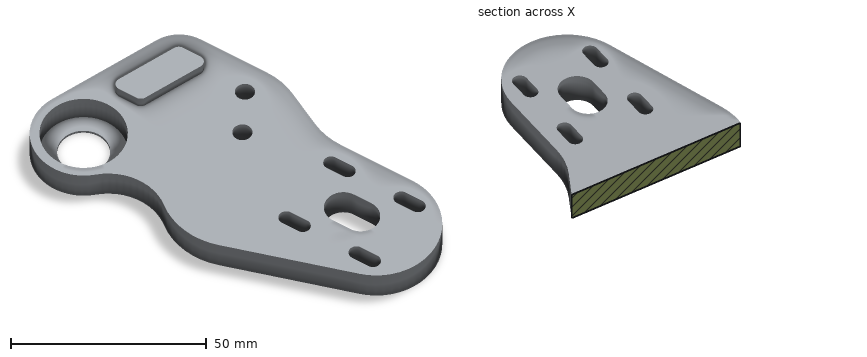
import cadquery as cq
import math

overall_length = 109.5
overall_width = 55.8
plate_thickness = 8.2
overall_height = 11.3

pivot_radius = 13.8
pivot_center = (0.0, 0.0)
top_edge_y = overall_width - pivot_radius
corner_radius = 10.0
corner_center = (8.5, top_edge_y - corner_radius)
end_radius = 16.9
end_center = (overall_length - pivot_radius - end_radius, 15.3)
belly_radius = 20.0
belly_center = (42.5, 6.9)
waist_radius = 15.0

shoulder_start_x = 33.5
shoulder_end_x = 52.5
shoulder_radius = 20.0
low_edge_y = end_center[1] + end_radius

bore_radius = 6.8
counterbore_radius = 11.3
counterbore_depth = 7.5

pad_center = (7.0, 25.1)
pad_width = 9.5
pad_length = 20.2
pad_corner_radius = 2.0

hole_diameter = 5.1
hole_centers = [(27.4, 33.6), (34.0, 22.1)]
slot_center = (71.5, end_center[1])
slot_length = 15.2
slot_width = 10.0
small_slot_length = 9.1
small_slot_width = 4.0
small_slot_spacing = 21.2


def polar(center, radius, angle):
    """Point on a circle at an angle in radians."""
    return (center[0] + radius * math.cos(angle), center[1] + radius * math.sin(angle))


def direction(start, end):
    """Angle of the line from start to end."""
    return math.atan2(end[1] - start[1], end[0] - start[0])


def tangent_normal(first, first_radius, second, second_radius):
    """Normal angle of the outer tangent to the right of the path from first to second."""
    lean = math.acos((first_radius - second_radius) / math.dist(first, second))
    return direction(first, second) - lean


def waist_circle_center():
    """Center of the hollow circle touching the pivot and belly circles from below."""
    pivot_reach = pivot_radius + waist_radius
    belly_reach = belly_radius + waist_radius
    span = math.dist(pivot_center, belly_center)
    cosine = (pivot_reach**2 + span**2 - belly_reach**2) / (2 * pivot_reach * span)
    angle = direction(pivot_center, belly_center) - math.acos(cosine)
    return polar(pivot_center, pivot_reach, angle)


waist_center = waist_circle_center()
pivot_to_waist = direction(pivot_center, waist_center)
waist_to_belly = direction(waist_center, belly_center)
belly_to_end = tangent_normal(belly_center, belly_radius, end_center, end_radius)
left_normal = tangent_normal(corner_center, corner_radius, pivot_center, pivot_radius)
left_edge_angle = left_normal - math.pi / 2
up = math.pi / 2


def build_plate():
    drop = top_edge_y - low_edge_y
    run = shoulder_end_x - shoulder_start_x
    slope_angle = math.atan2(-drop, run)
    setback = shoulder_radius * math.tan(-slope_angle / 2)
    shoulder_start = (shoulder_start_x, top_edge_y)
    shoulder_end = (shoulder_end_x, low_edge_y)
    crest_center = (shoulder_start_x - setback, top_edge_y - shoulder_radius)
    hollow_center = (shoulder_end_x + setback, low_edge_y + shoulder_radius)
    crest_middle = up + slope_angle / 2

    left_end = polar(pivot_center, pivot_radius, left_normal)
    pivot_middle = (left_normal % (2 * math.pi) + pivot_to_waist % (2 * math.pi)) / 2
    waist_middle = (pivot_to_waist + math.pi + waist_to_belly) / 2
    belly_middle = (waist_to_belly - math.pi + belly_to_end) / 2
    corner_middle = (up + left_normal % (2 * math.pi)) / 2

    outline = (
        cq.Workplane("XY")
        .moveTo(*left_end)
        .threePointArc(
            polar(pivot_center, pivot_radius, pivot_middle),
            polar(pivot_center, pivot_radius, pivot_to_waist),
        )
        .threePointArc(
            polar(waist_center, waist_radius, waist_middle),
            polar(waist_center, waist_radius, waist_to_belly),
        )
        .threePointArc(
            polar(belly_center, belly_radius, belly_middle),
            polar(belly_center, belly_radius, belly_to_end),
        )
        .lineTo(*polar(end_center, end_radius, belly_to_end))
        .threePointArc(polar(end_center, end_radius, 0), polar(end_center, end_radius, up))
        .lineTo(hollow_center[0], low_edge_y)
        .threePointArc(
            polar(hollow_center, shoulder_radius, crest_middle - math.pi),
            polar(shoulder_end, -setback, slope_angle),
        )
        .lineTo(*polar(shoulder_start, setback, slope_angle))
        .threePointArc(
            polar(crest_center, shoulder_radius, crest_middle),
            (crest_center[0], top_edge_y),
        )
        .lineTo(corner_center[0], top_edge_y)
        .threePointArc(
            polar(corner_center, corner_radius, corner_middle),
            polar(corner_center, corner_radius, left_normal),
        )
        .close()
    )
    return outline.extrude(plate_thickness)


def build_pad():
    lean = pad_length / 2 / math.tan(left_edge_angle)
    half_width = pad_width / 2
    half_length = pad_length / 2
    corners = [
        (-half_width - lean, -half_length),
        (half_width - lean, -half_length),
        (half_width + lean, half_length),
        (-half_width + lean, half_length),
    ]
    return (
        cq.Workplane("XY", origin=(*pad_center, plate_thickness))
        .polyline(corners)
        .close()
        .extrude(overall_height - plate_thickness)
        .edges("|Z")
        .fillet(pad_corner_radius)
    )


def cut_pivot(body):
    bore = cq.Workplane("XY").circle(bore_radius).extrude(plate_thickness)
    counterbore_floor = plate_thickness - counterbore_depth
    counterbore = (
        cq.Workplane("XY", origin=(0, 0, counterbore_floor))
        .circle(counterbore_radius)
        .extrude(counterbore_depth)
    )
    return body.cut(bore).cut(counterbore)


def cut_openings(body):
    holes = (
        cq.Workplane("XY")
        .pushPoints(hole_centers)
        .circle(hole_diameter / 2)
        .extrude(plate_thickness)
    )
    large_slot = (
        cq.Workplane("XY", origin=(*slot_center, 0))
        .slot2D(slot_length, slot_width)
        .extrude(plate_thickness)
    )
    small_slots = (
        cq.Workplane("XY", origin=(*slot_center, 0))
        .rarray(small_slot_spacing, small_slot_spacing, 2, 2)
        .slot2D(small_slot_length, small_slot_width)
        .extrude(plate_thickness)
    )
    return body.cut(holes).cut(large_slot).cut(small_slots)


plate = cut_openings(cut_pivot(build_plate()))
result = plate.union(build_pad())